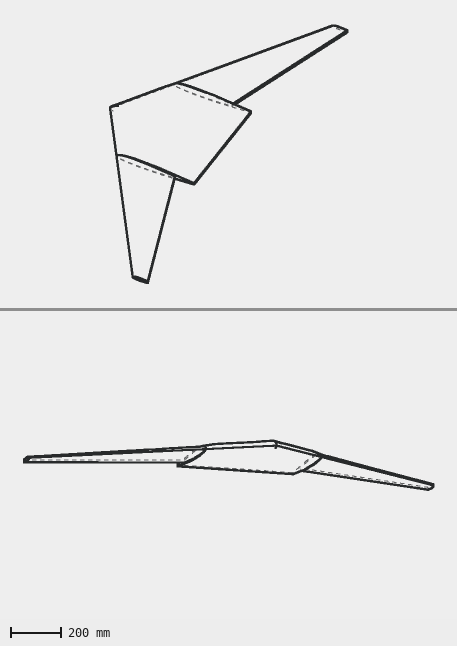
import cadquery as cq
import math

fence_y = 200.0
body_edge_y = 243.0
tip_y = 850.0

tip_leading_x = 550.0
tip_trailing_x = 619.0
body_trailing_x = 507.0
wing_root_trailing_x = 420.0

centre_upper, centre_lower = 35.0, 24.0
fence_upper, fence_lower = 30.0, 19.0
body_edge_upper, body_edge_lower = 24.0, 14.0
wing_root_upper, wing_root_lower = 20.0, 10.0
tip_upper, tip_lower = 7.6, 6.0

body_tail_half = 3.0
wing_tail_half = 5.0

upper_skew = 0.9
lower_skew = 1.25

peak_taper_share = 0.3**2

curve_steps = 12
chord_fractions = [1 - math.cos(math.pi / 2 * i / curve_steps) for i in range(curve_steps + 1)]


def airfoil_shape(t):
    """NACA four-digit thickness at chord fraction t, closed at t = 1 with a peak near 1."""
    return 2 * (1.4845 * math.sqrt(t) - 0.63 * t - 1.758 * t**2 + 1.4215 * t**3 - 0.518 * t**4)


def leading_x(y):
    return tip_leading_x * y / tip_y


def section(y, trailing_x, upper, lower, tail_half):
    """Closed airfoil wire in the plane at spanwise position y."""
    nose_x = leading_x(y)
    chord = trailing_x - nose_x

    def surface(height, skew, side):
        points = []
        for t in chord_fractions:
            offset = height * airfoil_shape(t**skew) + tail_half * t**2
            points.append(cq.Vector(nose_x + chord * t, y, side * offset))
        return points

    upper_points = surface(upper - peak_taper_share * tail_half, upper_skew, 1)
    lower_points = surface(lower - peak_taper_share * tail_half, lower_skew, -1)
    return cq.Wire.assembleEdges([
        cq.Edge.makeSpline(upper_points),
        cq.Edge.makeLine(upper_points[-1], lower_points[-1]),
        cq.Edge.makeSpline(lower_points[::-1]),
    ])


centre = section(0, body_trailing_x, centre_upper, centre_lower, body_tail_half)
fence = section(fence_y, body_trailing_x, fence_upper, fence_lower, body_tail_half)
body_edge = section(body_edge_y, body_trailing_x, body_edge_upper, body_edge_lower, body_tail_half)
wing_root = section(body_edge_y, wing_root_trailing_x, wing_root_upper, wing_root_lower, wing_tail_half)
wing_tip = section(tip_y, tip_trailing_x, tip_upper, tip_lower, wing_tail_half)

half = cq.Workplane(obj=cq.Solid.makeLoft([centre, fence], True))
for inner, outer in [(fence, body_edge), (wing_root, wing_tip)]:
    half = half.union(cq.Workplane(obj=cq.Solid.makeLoft([inner, outer], True)))

result = half.union(half.mirror("XZ"))